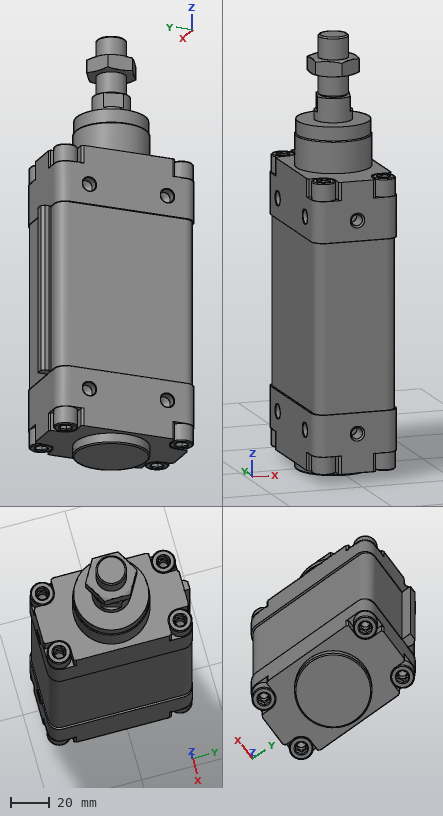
import cadquery as cq
import math


TOTAL_HEIGHT = 230.5
TOTAL_Y = 83.2
BODY_BOTTOM = 5.5
BODY_TOP = 161.0
CAP_HEIGHT = 32.0
TUBE_BOTTOM = BODY_BOTTOM + CAP_HEIGHT
TUBE_TOP = BODY_TOP - CAP_HEIGHT

CAP_X = 46.0
CAP_Y = 78.0
CAP_CORNER_RADIUS = 6.5
TUBE_X = 44.0
TUBE_Y = 77.0
TUBE_OFFSET_Y = 0.2
TUBE_BACK = TUBE_OFFSET_Y + TUBE_Y / 2
TUBE_CORNER_RADIUS = 5.8

RAIL_LEFT = -12.7
RAIL_RIGHT = -7.1
RAIL_TOP = TOTAL_Y - CAP_Y / 2
RAIL_CHAMFER_X = 1.4
RAIL_CHAMFER_Y = 1.8
RAIL_FLANK_BOTTOM = 40.3
RAIL_FOOT_SETBACK = 1.0

COLLAR_DIAMETER = 40.0
COLLAR_TOP = 178.2
COLLAR_CHAMFER = 0.58
RING_DIAMETER = COLLAR_DIAMETER - 2 * COLLAR_CHAMFER
RING_TOP = 185.5
FOOT_CHAMFER = 0.7

SCREW_X = 16.4
SCREW_Y = 32.5
HEAD_DIAMETER = 12.5
HEAD_CHAMFER = 0.58
NOTCH_DEPTH = 9.7
FLARE_LENGTH = 1.4
FLARE_DEPTH = 0.7
SOCKET_FLATS = 6.0
SOCKET_DEPTH = 5.0
SOCKET_MOUTH_DIAMETER = 7.4
SCREW_BORE_DIAMETER = 4.8
SCREW_BORE_DEPTH = 10.0

HOLE_FROM_CAP_END = 21.0
DRILL_TIP_ANGLE = 118.0
PORT_DIAMETER = 6.0
PORT_MOUTH_DIAMETER = 7.8
PORT_DEPTH = 10.0
MOUNT_DIAMETER = 7.4
MOUNT_MOUTH_DIAMETER = 8.0
MOUNT_DEPTH = 5.0
MOUNT_Y = 22.0

ROD_DIAMETER = 20.0
SHOULDER = 198.5
THREAD_DIAMETER = 16.0
THREAD_CHAMFER = 0.8
FLATS_WIDTH = 17.0
FLATS_HEIGHT = 8.0
FLATS_ANGLE = -15.0

NUT_BOTTOM = 210.5
NUT_HEIGHT = 8.0
NUT_FLATS = 24.0
NUT_CHAMFER_ANGLE = 18.0


def across_corners(across_flats):
    """Corner-to-corner width of a hexagon."""
    return across_flats / math.cos(math.pi / 6)


def hexagon(across_flats, height):
    """Hexagonal prism on the XY plane with two of its corners on the Y axis."""
    prism = cq.Workplane("XY").polygon(6, across_corners(across_flats)).extrude(height)
    return prism.rotate((0, 0, 0), (0, 0, 1), 90)


def rounded_block(size_x, size_y, radius, bottom, top):
    """Upright block centred on Z with rounded vertical edges."""
    block = cq.Workplane("XY").workplane(offset=bottom).rect(size_x, size_y).extrude(top - bottom)
    return block.edges("|Z").fillet(radius)


def turned(points):
    """Solid of revolution about Z from (radius, z) points; the axis closes the outline."""
    return cq.Workplane("XZ").polyline(points).close().revolve(360, (0, 0, 0), (0, 1, 0))


def rail():
    """Bar along the tube, chamfered outside and undercut at its foot."""
    outline = [
        (RAIL_RIGHT, TUBE_BACK),
        (RAIL_RIGHT, RAIL_TOP),
        (RAIL_LEFT + RAIL_CHAMFER_X, RAIL_TOP),
        (RAIL_LEFT, RAIL_TOP - RAIL_CHAMFER_Y),
        (RAIL_LEFT, RAIL_FLANK_BOTTOM),
        (RAIL_LEFT + RAIL_FOOT_SETBACK, TUBE_BACK),
    ]
    base = cq.Workplane("XY").workplane(offset=TUBE_BOTTOM)
    return base.polyline(outline).close().extrude(TUBE_TOP - TUBE_BOTTOM)


def collars():
    """Stepped collar above the caps and the short chamfered one below them."""
    collar_radius = COLLAR_DIAMETER / 2
    ring_radius = RING_DIAMETER / 2
    upper = turned([
        (0, BODY_TOP),
        (collar_radius, BODY_TOP),
        (collar_radius, COLLAR_TOP - COLLAR_CHAMFER),
        (ring_radius, COLLAR_TOP),
        (ring_radius, RING_TOP),
        (0, RING_TOP),
    ])
    lower = turned([
        (0, 0),
        (collar_radius - FOOT_CHAMFER, 0),
        (collar_radius, FOOT_CHAMFER),
        (collar_radius, BODY_BOTTOM),
        (0, BODY_BOTTOM),
    ])
    return upper, lower


def notch():
    """Corner cut around a screw head at the origin, open towards +X and +Y, its top at Z = 0."""
    radius = HEAD_DIAMETER / 2
    face_x = CAP_X / 2 - SCREW_X
    face_y = CAP_Y / 2 - SCREW_Y
    outline = (
        cq.Workplane("XY").workplane(offset=-NOTCH_DEPTH)
        .moveTo(-radius, 0)
        .lineTo(-radius, face_y - FLARE_DEPTH)
        .lineTo(-radius - FLARE_LENGTH, face_y)
        .lineTo(face_x, face_y)
        .lineTo(face_x, -radius - FLARE_LENGTH)
        .lineTo(face_x - FLARE_DEPTH, -radius)
        .lineTo(0, -radius)
        .radiusArc((-radius, 0), radius)
        .close()
    )
    return outline.extrude(NOTCH_DEPTH)


def screw_head():
    """Head filling the notch at the origin, with its chamfered top at Z = 0."""
    head = cq.Workplane("XY").workplane(offset=-NOTCH_DEPTH).circle(HEAD_DIAMETER / 2).extrude(NOTCH_DEPTH)
    return head.faces(">Z").chamfer(HEAD_CHAMFER)


def mouth_cone(outer_diameter, inner_diameter):
    """45-degree countersink down from Z = 0."""
    outer_radius = outer_diameter / 2
    inner_radius = inner_diameter / 2
    depth = outer_radius - inner_radius
    return turned([(0, 0), (outer_radius, 0), (inner_radius, -depth), (0, -depth)])


def drilled_hole(diameter, depth):
    """Blind hole down from Z = 0; the conical tip lies below the given depth."""
    radius = diameter / 2
    tip = radius / math.tan(math.radians(DRILL_TIP_ANGLE / 2))
    return turned([(0, 0), (radius, 0), (radius, -depth), (0, -depth - tip)])


def screw_socket():
    """Hexagon socket with a chamfered mouth and a drilled bore below it, its top at Z = 0."""
    socket = hexagon(SOCKET_FLATS, SOCKET_DEPTH).translate((0, 0, -SOCKET_DEPTH))
    socket = socket.union(mouth_cone(SOCKET_MOUTH_DIAMETER, SOCKET_FLATS))
    return socket.union(drilled_hole(SCREW_BORE_DIAMETER, SCREW_BORE_DEPTH))


def port():
    """Flat-bottomed port down from Z = 0 with a chamfered mouth."""
    bore = cq.Workplane("XY").circle(PORT_DIAMETER / 2).extrude(-PORT_DEPTH)
    return bore.union(mouth_cone(PORT_MOUTH_DIAMETER, PORT_DIAMETER))


def mounting_hole():
    """Drilled hole down from Z = 0 with a chamfered mouth."""
    bore = drilled_hole(MOUNT_DIAMETER, MOUNT_DEPTH)
    return bore.union(mouth_cone(MOUNT_MOUTH_DIAMETER, MOUNT_DIAMETER))


def at_corners(shape):
    """Copies of a shape made for the (+X, +Y) screw, mirrored to all four screws of the upper end."""
    first = shape.translate((SCREW_X, SCREW_Y, BODY_TOP))
    pair = [first, first.mirror("YZ")]
    return pair + [copy.mirror("XZ") for copy in pair]


def at_both_ends(shape):
    """The shape of the upper end and its mirror image at the lower end."""
    middle = (BODY_BOTTOM + BODY_TOP) / 2
    return [shape, shape.mirror("XY", (0, 0, middle))]


def side_holes():
    """Port on the -Y face and two mounting holes on the -X face of the upper cap."""
    height = BODY_TOP - HOLE_FROM_CAP_END
    holes = [port().rotate((0, 0, 0), (1, 0, 0), 90).translate((0, -CAP_Y / 2, height))]
    mount = mounting_hole().rotate((0, 0, 0), (0, 1, 0), -90)
    for y in (-MOUNT_Y, MOUNT_Y):
        holes.append(mount.translate((-CAP_X / 2, y, height)))
    return holes


def upper_cap():
    """Cap with a screw in each corner and its side holes."""
    cap = rounded_block(CAP_X, CAP_Y, CAP_CORNER_RADIUS, TUBE_TOP, BODY_TOP)
    for corner in at_corners(notch()):
        cap = cap.cut(corner)
    for head in at_corners(screw_head()):
        cap = cap.union(head)
    for socket in at_corners(screw_socket()):
        cap = cap.cut(socket)
    for hole in side_holes():
        cap = cap.cut(hole)
    return cap


def make_housing():
    """Tube, rail, both caps with their screws, and the collars, as one solid."""
    tube = rounded_block(TUBE_X, TUBE_Y, TUBE_CORNER_RADIUS, TUBE_BOTTOM, TUBE_TOP)
    housing = tube.translate((0, TUBE_OFFSET_Y, 0))
    for part in [rail(), *at_both_ends(upper_cap()), *collars()]:
        housing = housing.union(part)
    return housing


def make_rod():
    """Rod standing on the collar, with two wrench flats and a plain shank for the thread."""
    rod_radius = ROD_DIAMETER / 2
    thread_radius = THREAD_DIAMETER / 2
    end_radius = thread_radius - THREAD_CHAMFER
    rod = turned([
        (0, RING_TOP),
        (rod_radius, RING_TOP),
        (rod_radius, SHOULDER),
        (end_radius, SHOULDER),
        (thread_radius, SHOULDER + THREAD_CHAMFER),
        (thread_radius, TOTAL_HEIGHT - THREAD_CHAMFER),
        (end_radius, TOTAL_HEIGHT),
        (0, TOTAL_HEIGHT),
    ])
    for side in (-1, 1):
        cutter = (
            cq.Workplane("XY")
            .box(ROD_DIAMETER, ROD_DIAMETER, FLATS_HEIGHT)
            .translate((side * (FLATS_WIDTH + ROD_DIAMETER) / 2, 0, SHOULDER - FLATS_HEIGHT / 2))
            .rotate((0, 0, 0), (0, 0, 1), FLATS_ANGLE)
        )
        rod = rod.cut(cutter)
    return rod


def make_nut():
    """Hexagon nut with its corners chamfered at both faces, bored to fit the rod."""
    face_radius = NUT_FLATS / 2
    corner_radius = across_corners(NUT_FLATS) / 2
    drop = (corner_radius - face_radius) * math.tan(math.radians(NUT_CHAMFER_ANGLE))
    envelope = turned([
        (0, 0),
        (face_radius, 0),
        (corner_radius, drop),
        (corner_radius, NUT_HEIGHT - drop),
        (face_radius, NUT_HEIGHT),
        (0, NUT_HEIGHT),
    ])
    bore = cq.Workplane("XY").circle(THREAD_DIAMETER / 2).extrude(NUT_HEIGHT)
    nut = hexagon(NUT_FLATS, NUT_HEIGHT).intersect(envelope).cut(bore)
    return nut.translate((0, 0, NUT_BOTTOM))


housing = make_housing()
rod = make_rod()
nut = make_nut()

result = cq.Compound.makeCompound([body.solids().val() for body in (housing, rod, nut)])